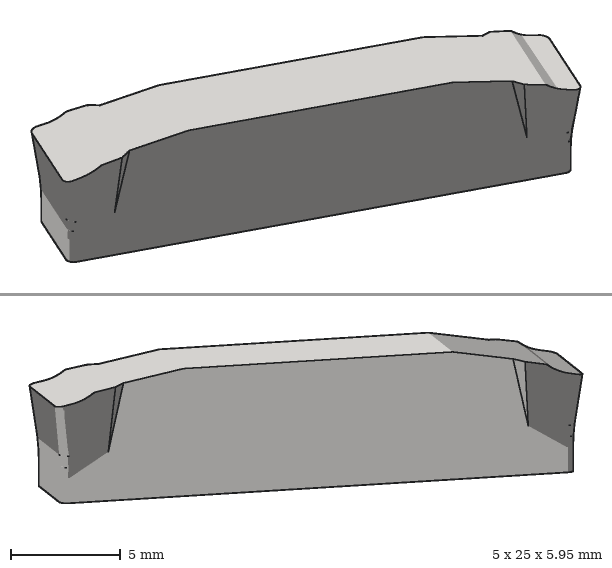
import cadquery as cq
import math

length = 24.95
height = 5.95
body_width = 4.15
half_length = length / 2
half_body = body_width / 2
corner_radius = 0.37
end_corner_start = 12.12

flat_half_length = 6.35
shoulder_angle = math.radians(10)
shoulder_end = 10.7
land_length = 0.77
edge_height = 4.6
land_rise = 0.15
shoulder_radius = 0.25

clearance_angle = math.radians(7)
clearance_bottom = 2.25
foot_height = 1.72

apex_y = 9.93
apex_height = 2.3
neck_edge_spread = 0.11
neck_edge_lean = -0.08
flank_relief = 0.07
neck_slope = 0.75
overrun = 1.25
blank_height = height + 0.25


def groove_middle(start, end):
    """Middle of the concave arc that leaves start along the line of the land."""
    run = end[0] - start[0]
    rise = end[1] - start[1]
    turn = math.atan2(rise, -run) - math.atan2(land_rise, land_length)
    sag_ratio = math.tan(turn / 2) / 2
    middle_y = (start[0] + end[0]) / 2 - rise * sag_ratio
    middle_z = (start[1] + end[1]) / 2 + run * sag_ratio
    return (middle_y, middle_z)


def side_profile(width):
    """Extrude the lengthwise outline to the given width."""
    clearance_run = (edge_height - clearance_bottom) * math.tan(clearance_angle)
    clearance_y = half_length - clearance_run
    blend_drop = clearance_bottom - foot_height
    foot_y = clearance_y - blend_drop * math.tan(clearance_angle / 2)
    foot = (foot_y, foot_height)
    clearance_foot = (clearance_y, clearance_bottom)

    land_end = (half_length - land_length, edge_height + land_rise)
    shoulder_drop = (shoulder_end - flat_half_length) * math.tan(shoulder_angle)
    shoulder = (shoulder_end, height - shoulder_drop)

    half = (
        cq.Workplane("YZ")
        .moveTo(0, 0)
        .lineTo(0, height)
        .lineTo(flat_half_length, height)
        .lineTo(*shoulder)
        .threePointArc(groove_middle(land_end, shoulder), land_end)
        .lineTo(half_length, edge_height)
        .lineTo(*clearance_foot)
        .tangentArcPoint(foot, relative=False)
        .lineTo(foot_y, 0)
        .close()
        .extrude(width / 2, both=True)
    )
    shoulder_zone = cq.selectors.BoxSelector(
        (-width, shoulder_end - shoulder_radius, foot_height),
        (width, shoulder_end + shoulder_radius, height),
    )
    half = half.edges("|X").edges(shoulder_zone).fillet(shoulder_radius)
    return half.union(half.mirror("XZ"))


def round_end_corners(solid):
    """Round the upright corners beside each end face."""
    reach = 2 * half_length
    for side in (-1, 1):
        end_zone = cq.selectors.BoxSelector(
            (-reach, side * end_corner_start, -reach),
            (reach, side * reach, reach),
        )
        corners = solid.edges("not |X").edges(end_zone)
        if corners.size() > 0:
            solid = corners.fillet(corner_radius)
    return solid


def head_section(z):
    """Horizontal section of the head blank at height z, at the +Y end."""
    rise = z - apex_height
    neck_x = half_body + rise * neck_edge_spread
    neck_y = apex_y + rise * neck_edge_lean
    outer_y = half_length + overrun
    outer_x = neck_x + (outer_y - neck_y) * flank_relief
    root_x = half_body / 2
    root_y = neck_y - (neck_x - root_x) / neck_slope
    right = [(root_x, root_y), (neck_x, neck_y), (outer_x, outer_y)]
    left = [(-x, y) for x, y in reversed(right)]
    return right + left


def cutting_head():
    """Tapered head at the +Y end with rounded corners."""
    blank = (
        cq.Workplane("XY")
        .polyline(head_section(0))
        .close()
        .workplane(offset=blank_height)
        .polyline(head_section(blank_height))
        .close()
        .loft(ruled=True)
    )
    head = side_profile(2 * body_width).intersect(blank)
    return round_end_corners(head)


body = round_end_corners(side_profile(body_width))
head = cutting_head()
result = body.union(head).union(head.mirror("XZ"))